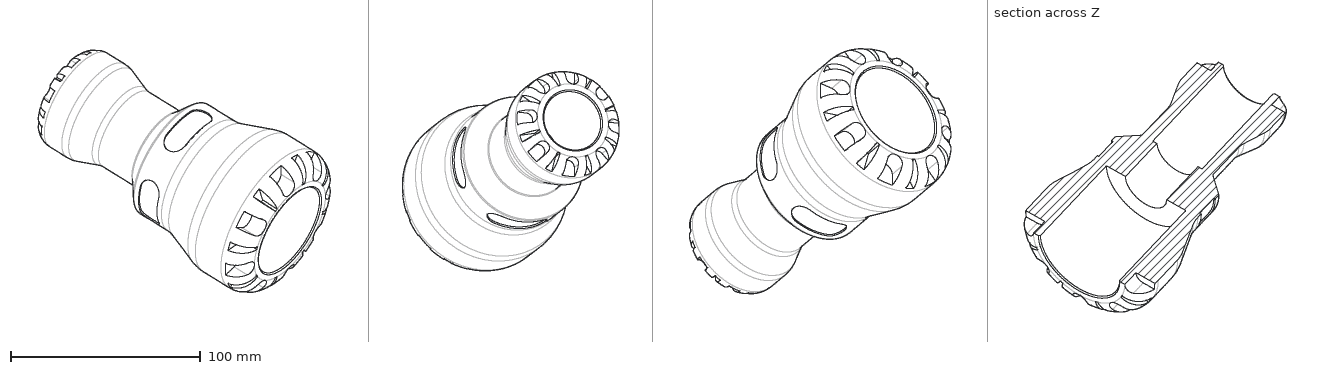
import cadquery as cq
import math

length = 152.0

small_radius = 58.0 / 2
small_round = 9.0
small_head_end = 20.8
small_cone_start = 25.0
small_cone_end = 37.2
neck_start = 40.9

neck_radius = 46.4 / 2
collar_cone_start = 64.0
collar_start = 73.3
collar_end = 92.3
collar_radius = 68.0 / 2
collar_cone_fillet = 1.0

large_radius = 85.0 / 2
large_round = 12.6
large_cone_start = 98.0
large_cone_end = 116.1
large_head_start = 122.0

small_ring_radius = small_radius - small_round
large_ring_radius = large_radius - large_round

through_radius = 26.8 / 2
small_bore_radius = 32.0 / 2
rim_wall = small_ring_radius - small_bore_radius
large_bore_radius = large_ring_radius - rim_wall
small_bore_end = collar_cone_start
large_bore_start = collar_end
mouth_chamfer = 0.8

pocket_count = 4
pocket_width = 12.5
pocket_length = 33.0
pocket_depth = 0.9
pocket_center = 83.0

slot_count = 8
small_slot_width = 7.0
small_slot_depth = 7.0
large_slot_width = 9.5
large_slot_depth = 9.9
wedge_angle = 17.0
wedge_tip_ratio = 0.17
cutter_margin = 3.0


def around_x(shape, count, start_angle=0.0):
    """Copies of a shape, evenly spaced around the X axis."""
    copies = cq.Workplane("XY")
    for i in range(count):
        angle = start_angle + i * 360 / count
        copies = copies.add(shape.rotate((0, 0, 0), (1, 0, 0), angle))
    return copies.combine()


def blended_cone_radii(start_radius, end_radius, start, cone_start, cone_end, end):
    """Radii at both ends of a cone that runs through tangent arcs into two cylinders.

    An arc's end tangents cross nearly midway along it, so the cone's line crosses
    each cylinder midway along its blend.
    """
    start_half = (cone_start - start) / 2
    end_half = (end - cone_end) / 2
    slope = (end_radius - start_radius) / (start_half + cone_end - cone_start + end_half)
    return start_radius + slope * start_half, end_radius - slope * end_half


def make_body():
    small_cone_radius, small_cone_end_radius = blended_cone_radii(
        small_radius, neck_radius, small_head_end, small_cone_start, small_cone_end, neck_start
    )
    large_cone_radius, large_cone_end_radius = blended_cone_radii(
        collar_radius, large_radius, collar_end, large_cone_start, large_cone_end, large_head_start
    )
    profile = (
        cq.Workplane("XY")
        .lineTo(0, small_ring_radius)
        .radiusArc((small_round, small_radius), small_round)
        .lineTo(small_head_end, small_radius)
        .tangentArcPoint((small_cone_start, small_cone_radius), relative=False)
        .lineTo(small_cone_end, small_cone_end_radius)
        .tangentArcPoint((neck_start, neck_radius), relative=False)
        .lineTo(collar_cone_start, neck_radius)
        .lineTo(collar_start, collar_radius)
        .lineTo(collar_end, collar_radius)
        .tangentArcPoint((large_cone_start, large_cone_radius), relative=False)
        .lineTo(large_cone_end, large_cone_end_radius)
        .tangentArcPoint((large_head_start, large_radius), relative=False)
        .lineTo(length - large_round, large_radius)
        .radiusArc((length, large_ring_radius), large_round)
        .lineTo(length, 0)
        .close()
    )
    body = profile.revolve(360, (0, 0, 0), (1, 0, 0))

    margin = 0.2
    collar_cone_edges = cq.selectors.BoxSelector(
        (collar_cone_start - margin, -large_radius, -large_radius),
        (collar_start + margin, large_radius, large_radius),
    )
    return body.edges("%CIRCLE").edges(collar_cone_edges).fillet(collar_cone_fillet)


def make_rim_slots(start, depth, width, ring_radius, head_radius):
    """Slot cutters for one rim, running from X = start over the slot depth."""
    plane = cq.Workplane("YZ", origin=(start, 0, 0))
    reach = head_radius + cutter_margin

    half_width = width / 2
    slot = (
        plane.moveTo(-half_width, reach)
        .lineTo(-half_width, ring_radius + half_width)
        .threePointArc((0, ring_radius), (half_width, ring_radius + half_width))
        .lineTo(half_width, reach)
        .close()
        .extrude(depth)
    )

    half_tip = wedge_tip_ratio * half_width
    half_mouth = half_tip + (reach - ring_radius) * math.tan(math.radians(wedge_angle / 2))
    wedge = (
        plane.moveTo(-half_tip, ring_radius)
        .lineTo(half_tip, ring_radius)
        .lineTo(half_mouth, reach)
        .lineTo(-half_mouth, reach)
        .close()
        .extrude(depth)
    )

    half_step = 180 / slot_count
    return around_x(slot, slot_count).union(around_x(wedge, slot_count, half_step))


def make_pockets():
    """Rounded pockets whose floors follow the collar's curve."""
    outline = (
        cq.Workplane("XY", origin=(pocket_center, 0, 0))
        .slot2D(pocket_length, pocket_width, 90)
        .extrude(large_radius)
    )
    core = cq.Workplane("YZ").circle(collar_radius - pocket_depth).extrude(length)
    return around_x(outline.cut(core), pocket_count)


def make_bore():
    profile = [
        (0, 0),
        (0, small_bore_radius + mouth_chamfer),
        (mouth_chamfer, small_bore_radius),
        (small_bore_end, small_bore_radius),
        (small_bore_end, through_radius),
        (large_bore_start, through_radius),
        (large_bore_start, large_bore_radius),
        (length - mouth_chamfer, large_bore_radius),
        (length, large_bore_radius + mouth_chamfer),
        (length, 0),
    ]
    return cq.Workplane("XY").polyline(profile).close().revolve(360, (0, 0, 0), (1, 0, 0))


small_rim_slots = make_rim_slots(
    0, small_slot_depth, small_slot_width, small_ring_radius, small_radius
)
large_rim_slots = make_rim_slots(
    length - large_slot_depth, large_slot_depth, large_slot_width, large_ring_radius, large_radius
)

result = make_body()
result = result.cut(small_rim_slots)
result = result.cut(large_rim_slots)
result = result.cut(make_pockets())
result = result.cut(make_bore())